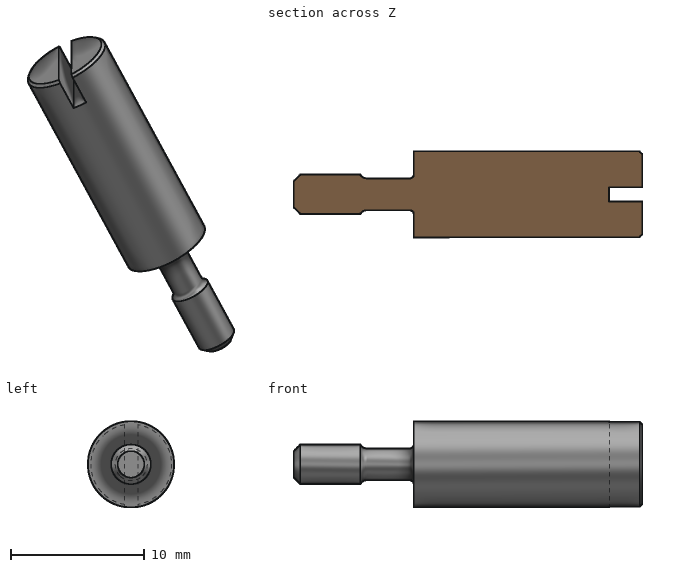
import cadquery as cq

total_length = 26.2
body_radius = 3.25
body_start = 9.0
end_chamfer = 0.2

stud_radius = 1.5
stud_length = 5.0
tip_chamfer = 0.5
neck_radius = 1.2
neck_fillet = 0.3
shoulder_length = 0.5
shoulder_drop = stud_radius - neck_radius
shoulder_arc_radius = (shoulder_length**2 + shoulder_drop**2) / (2 * shoulder_drop)

slot_width = 1.05
slot_depth = 2.5


def turned_pin():
    """Revolve the half profile of stud, neck and body about the X axis."""
    profile = (
        cq.Workplane("XZ")
        .lineTo(0, stud_radius - tip_chamfer)
        .lineTo(tip_chamfer, stud_radius)
        .lineTo(stud_length, stud_radius)
        .radiusArc((stud_length + shoulder_length, neck_radius), -shoulder_arc_radius)
        .lineTo(body_start - neck_fillet, neck_radius)
        .radiusArc((body_start, neck_radius + neck_fillet), -neck_fillet)
        .lineTo(body_start, body_radius)
        .lineTo(total_length - end_chamfer, body_radius)
        .lineTo(total_length, body_radius - end_chamfer)
        .lineTo(total_length, 0)
        .close()
    )
    return profile.revolve(360, (0, 0, 0), (1, 0, 0))


def driver_slot():
    """Block that cuts the slot right through the body along Z."""
    return (
        cq.Workplane("XY")
        .box(slot_depth, slot_width, 2 * body_radius)
        .translate((total_length - slot_depth / 2, 0, 0))
    )


result = turned_pin().cut(driver_slot())